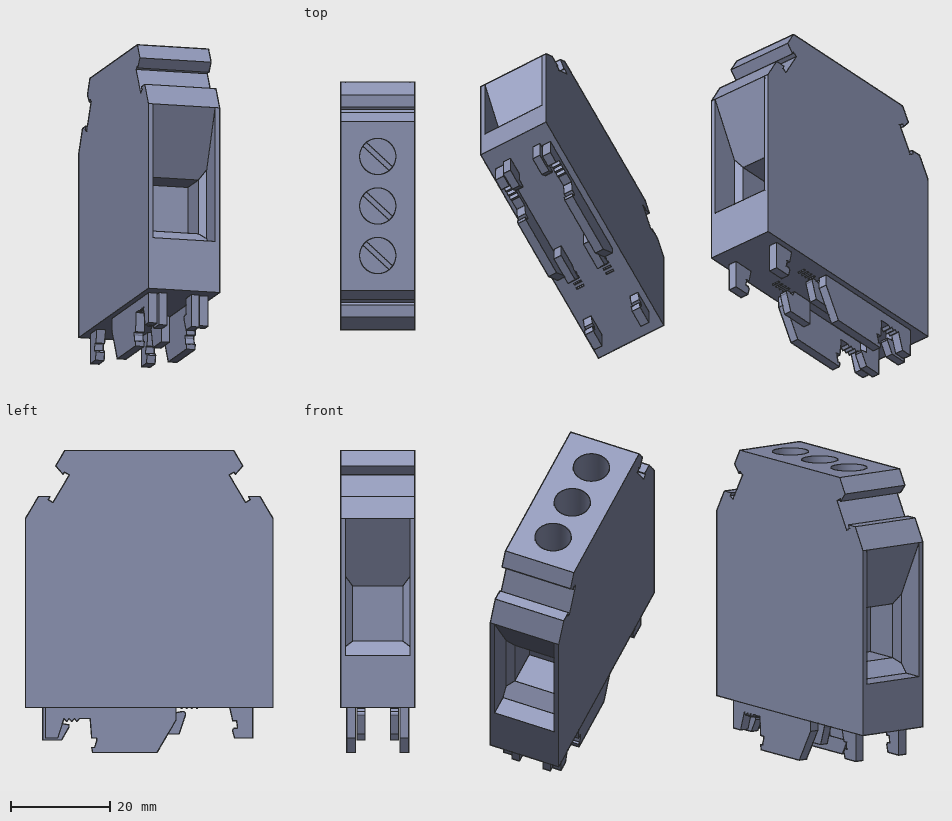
import cadquery as cq


housing_width = 15.0
housing_length = 50.0
total_height = 60.9
latch_depth = 9.1
housing_height = total_height - latch_depth
half_length = housing_length / 2
shoulder_z = 38.05

well_diameter = 7.3
well_depth = 12.2
well_pitch = 10.0
slot_width = 1.05
slot_depth = 1.2
slot_angle = -43.0

mouth_width = 13.05
mouth_floor_z = 10.5
throat_width = 10.1
throat_floor_z = 13.4
throat_ceiling_z = 24.5
floor_ramp_start = 4.4
side_taper_start = 6.0
funnel_depth = 7.05
throat_end = 14.6

outer_plate_x = 4.45
outer_plate_thickness = 1.8
inner_plate_x = 2.55
inner_plate_thickness = 1.65
foot_depth = 6.15
foot_end_y = 20.9
catch_depth = 5.35
inner_foot_depth = 6.6

tooth_pitch = 1.05
tooth_height = 0.6
outer_tooth_count = 3
outer_tooth_start_y = 17.2
outer_tooth_root_z = -2.25
inner_tooth_count = 4
inner_tooth_start_y = -6.5
inner_tooth_tip_z = -0.25


def extrude_along_x(sketch, x_start, thickness):
    """Extrude a closed YZ outline from x_start towards +X."""
    return sketch.extrude(thickness).translate((x_start, 0, 0))


def polygon_plate(points, x_start, thickness):
    return extrude_along_x(cq.Workplane("YZ").polyline(points).close(), x_start, thickness)


def make_housing():
    side = [
        (17.05, housing_height),
        (18.9, 48.7),
        (17.35, 46.95),
        (17.1, 47.45),
        (16.15, 46.9),
        (19.4, 41.35),
        (20.35, 41.9),
        (20.0, 42.55),
        (22.35, 42.55),
        (half_length, shoulder_z),
        (half_length, 0),
    ]
    other_side = [(-y, z) for y, z in reversed(side)]
    return polygon_plate(side + other_side, -housing_width / 2, housing_width)


def make_screw_well(y):
    """Blind well whose floor is a slotted screw head."""
    floor_z = housing_height - well_depth
    well = cq.Workplane("XY").circle(well_diameter / 2).extrude(well_depth)
    slot_zone = cq.Workplane("XY").circle(well_diameter / 2).extrude(-slot_depth)
    slot = (
        cq.Workplane("XY")
        .transformed(rotate=(0, 0, slot_angle))
        .rect(well_diameter, slot_width)
        .extrude(-slot_depth)
        .intersect(slot_zone)
    )
    return well.union(slot).translate((0, y, floor_z))


def make_wire_entry():
    """Funnel in the -Y end: the common space of a side outline and a plan outline."""
    mouth_y = -half_length
    throat_y = mouth_y + funnel_depth
    end_y = mouth_y + throat_end
    side_outline = [
        (mouth_y, shoulder_z),
        (mouth_y, mouth_floor_z),
        (mouth_y + floor_ramp_start, mouth_floor_z),
        (throat_y, throat_floor_z),
        (end_y, throat_floor_z),
        (end_y, throat_ceiling_z),
        (throat_y, throat_ceiling_z),
    ]
    right_wall = [
        (mouth_width / 2, mouth_y),
        (mouth_width / 2, mouth_y + side_taper_start),
        (throat_width / 2, throat_y),
        (throat_width / 2, end_y),
    ]
    left_wall = [(-x, y) for x, y in reversed(right_wall)]
    plan = cq.Workplane("XY").polyline(right_wall + left_wall).close().extrude(housing_height)
    return polygon_plate(side_outline, -mouth_width / 2, mouth_width).intersect(plan)


def make_outer_plate():
    """Outer foot plate: a toothed foot joined to the deep latch, and a separate hooked leg."""
    teeth = []
    for i in range(outer_tooth_count):
        root_y = outer_tooth_start_y - i * tooth_pitch
        teeth.append((root_y, outer_tooth_root_z))
        teeth.append((root_y - tooth_pitch / 2, outer_tooth_root_z - tooth_height))
    teeth_end_y = outer_tooth_start_y - outer_tooth_count * tooth_pitch

    foot = [(foot_end_y, 0), (foot_end_y, -foot_depth), (18.45, -foot_depth)]
    latch = [
        (teeth_end_y, outer_tooth_root_z),
        (11.95, outer_tooth_root_z),
        (11.65, -foot_depth),
        (10.6, -foot_depth),
        (10.6, -6.65),
        (11.0, -8.05),
        (11.65, -8.05),
        (11.45, -latch_depth),
        (-1.6, -latch_depth),
        (-5.4, -2.5),
        (-5.4, 0),
    ]
    hooked_leg = [
        (-16.2, 0),
        (-16.8, -2.7),
        (-17.6, -2.7),
        (-17.8, -4.15),
        (-17.1, -4.15),
        (-16.75, -4.55),
        (-17.2, -foot_depth),
        (-foot_end_y, -foot_depth),
        (-foot_end_y, 0),
    ]
    outlines = [foot + teeth + latch, hooked_leg]
    return [polygon_plate(outline, outer_plate_x, outer_plate_thickness) for outline in outlines]


def make_inner_plate():
    """Inner foot plate: a barbed foot, a round-nosed catch and a row of small teeth."""
    barbed_foot = [
        (21.5, 0),
        (21.5, -inner_foot_depth),
        (17.65, -inner_foot_depth),
        (16.15, -3.9),
        (16.15, -3.5),
        (17.65, -3.2),
        (17.65, 0),
    ]
    catch = (
        cq.Workplane("YZ")
        .moveTo(0, 0)
        .lineTo(0, -catch_depth)
        .lineTo(-6.0, -catch_depth)
        .lineTo(-7.3, -1.6)
        .threePointArc((-7.2, -1.0), (-6.6, -0.8))
        .lineTo(-5.35, -1.05)
        .lineTo(-4.9, 0)
        .close()
    )
    pieces = [
        polygon_plate(barbed_foot, inner_plate_x, inner_plate_thickness),
        extrude_along_x(catch, inner_plate_x, inner_plate_thickness),
    ]
    root_z = inner_tooth_tip_z + tooth_height
    for i in range(inner_tooth_count):
        tip_y = inner_tooth_start_y - i * tooth_pitch
        tooth = [
            (tip_y - tooth_pitch / 2, root_z),
            (tip_y, inner_tooth_tip_z),
            (tip_y + tooth_pitch / 2, root_z),
        ]
        pieces.append(polygon_plate(tooth, inner_plate_x, inner_plate_thickness))
    return pieces


result = make_housing()

for well_y in (-well_pitch, 0, well_pitch):
    result = result.cut(make_screw_well(well_y))

wire_entry = make_wire_entry()
result = result.cut(wire_entry).cut(wire_entry.mirror("XZ"))

for piece in make_outer_plate() + make_inner_plate():
    result = result.union(piece).union(piece.mirror("YZ"))